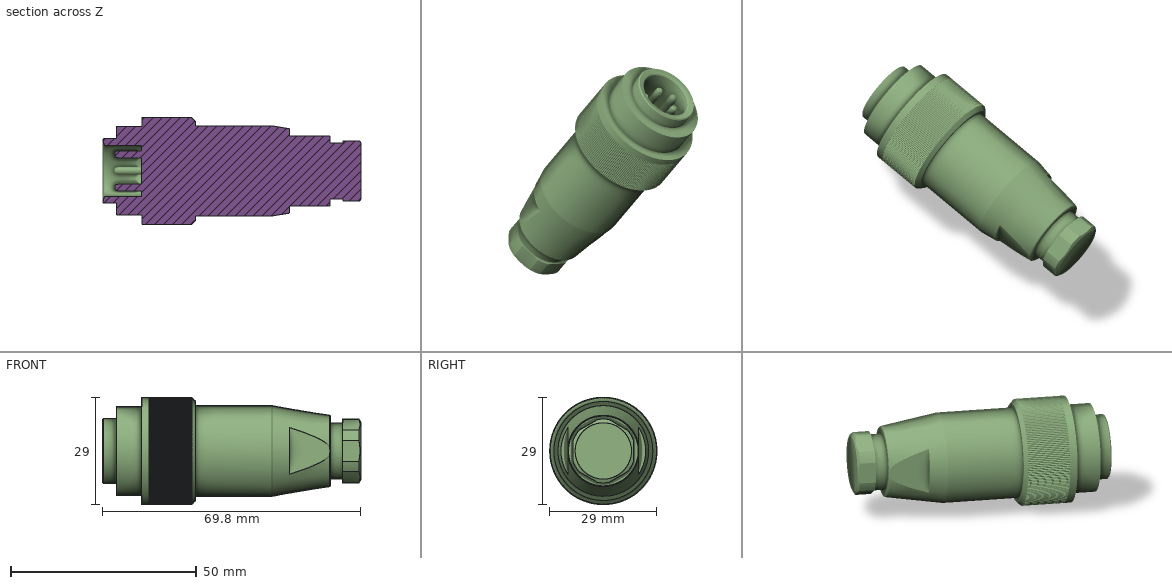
import cadquery as cq
import math


NOSE_END = 3.7
SLEEVE_END = 10.55
KNURL_START = 12.55
RING_END = 25.1
BODY_END = 45.7
FLAT_START = 50.55
CONE_END = 61.5
NECK_END = 64.85
TOTAL_LENGTH = 69.8

NOSE_DIA = 17.6
SLEEVE_DIA = 24.0
RING_DIA = 29.0
BODY_DIA = 24.5
CONE_END_DIA = 19.25
NECK_DIA = 15.2

NOSE_EDGE = 0.3
RING_CHAMFER = 1.1
CONE_EDGE = 0.2

TOOTH_COUNT = 180
TOOTH_DEPTH = 0.175
CREST_SHARE = 0.33

FLAT_SPACING = 19.1

NUT_ACROSS_FLATS = 16.25
NUT_CORNER_DIA = 17.25
NUT_END_DIA = 15.2
NUT_CHAMFER_ANGLE = 30.0

SOCKET_DIA = 13.7
SOCKET_DEPTH = 10.5
SOCKET_CHAMFER = 0.3
MOUTH_DISH = 0.35

ROOT_OVERLAP = 0.7

PIN_COUNT = 4
PIN_DIA = 2.0
PIN_CIRCLE_DIA = 9.0
PIN_TIP = 3.35
PIN_TIP_DIA = 1.8
PIN_TIP_LENGTH = 0.8
PIN_CHAMFER = 0.3

KEY_DIA = 2.4
KEY_TIP = 3.55
KEY_ANGLE = 135.0


def revolve_about_axis(profile):
    """Turn (x, radius) points, closed along the X axis, into a round solid."""
    points = [(profile[0][0], 0)] + profile + [(profile[-1][0], 0)]
    outline = cq.Workplane("XY").polyline(points).close()
    return outline.revolve(360, (0, 0, 0), (1, 0, 0))


def polar_point(radius, angle):
    """Point at a radius and an angle in radians."""
    return (radius * math.cos(angle), radius * math.sin(angle))


def make_shell():
    """Nose, sleeve, coupling ring, body, tapered rear and neck in one turned profile."""
    return revolve_about_axis([
        (0, NOSE_DIA / 2 - NOSE_EDGE),
        (NOSE_EDGE, NOSE_DIA / 2),
        (NOSE_END, NOSE_DIA / 2),
        (NOSE_END, SLEEVE_DIA / 2),
        (SLEEVE_END, SLEEVE_DIA / 2),
        (SLEEVE_END, RING_DIA / 2),
        (RING_END - RING_CHAMFER, RING_DIA / 2),
        (RING_END, RING_DIA / 2 - RING_CHAMFER),
        (RING_END, BODY_DIA / 2),
        (BODY_END, BODY_DIA / 2),
        (CONE_END - CONE_EDGE, CONE_END_DIA / 2),
        (CONE_END, CONE_END_DIA / 2 - CONE_EDGE),
        (CONE_END, NECK_DIA / 2),
        (NECK_END, NECK_DIA / 2),
    ])


def make_knurl_cutter():
    """Everything outside a toothed section, from the start of the knurl to the ring's rear face."""
    crest_radius = RING_DIA / 2
    root_radius = crest_radius - TOOTH_DEPTH
    pitch = 2 * math.pi / TOOTH_COUNT
    half_crest = CREST_SHARE * pitch / 2
    points = []
    for i in range(TOOTH_COUNT):
        middle = i * pitch
        points.append(polar_point(crest_radius, middle - half_crest))
        points.append(polar_point(crest_radius, middle + half_crest))
        points.append(polar_point(root_radius, middle + pitch / 2))
    blank = cq.Workplane("YZ", origin=(KNURL_START, 0, 0)).circle(RING_DIA)
    return blank.polyline(points).close().extrude(RING_END - KNURL_START)


def make_flat_cutters():
    """Two blocks that leave parallel flats facing -Y and +Y."""
    length = CONE_END - FLAT_START
    blank = cq.Workplane("XY").box(length, RING_DIA, RING_DIA, centered=(False, True, True))
    web = cq.Workplane("XY").box(length, FLAT_SPACING, RING_DIA, centered=(False, True, True))
    return blank.cut(web).translate((FLAT_START, 0, 0))


def make_nut():
    """Hexagon with flats facing -Y and +Y, trimmed by a chamfered round bar."""
    length = TOTAL_LENGTH - NECK_END
    across_corners = NUT_ACROSS_FLATS / math.cos(math.pi / 6)
    hexagon = cq.Workplane("YZ", origin=(NECK_END, 0, 0)).polygon(6, across_corners).extrude(length)
    hexagon = hexagon.rotate((0, 0, 0), (1, 0, 0), 90)
    chamfer_width = (NUT_CORNER_DIA - NUT_END_DIA) / 2
    chamfer_length = chamfer_width * math.tan(math.radians(NUT_CHAMFER_ANGLE))
    trim = revolve_about_axis([
        (NECK_END, NUT_CORNER_DIA / 2),
        (TOTAL_LENGTH - chamfer_length, NUT_CORNER_DIA / 2),
        (TOTAL_LENGTH, NUT_END_DIA / 2),
    ])
    return hexagon.intersect(trim)


def make_socket():
    """Blind bore with a small chamfer behind a shallow dished mouth."""
    return revolve_about_axis([
        (0, NOSE_DIA / 2 - NOSE_EDGE),
        (MOUTH_DISH, SOCKET_DIA / 2 + SOCKET_CHAMFER),
        (MOUTH_DISH + SOCKET_CHAMFER, SOCKET_DIA / 2),
        (SOCKET_DEPTH, SOCKET_DIA / 2),
    ])


def make_pins():
    """Contact pins with stepped, chamfered tips, standing on the socket floor."""
    pin = revolve_about_axis([
        (PIN_TIP, PIN_TIP_DIA / 2 - PIN_CHAMFER),
        (PIN_TIP + PIN_CHAMFER, PIN_TIP_DIA / 2),
        (PIN_TIP + PIN_TIP_LENGTH, PIN_TIP_DIA / 2),
        (PIN_TIP + PIN_TIP_LENGTH, PIN_DIA / 2),
        (SOCKET_DEPTH + ROOT_OVERLAP, PIN_DIA / 2),
    ]).translate((0, PIN_CIRCLE_DIA / 2, 0))
    pins = cq.Workplane("XY")
    for i in range(PIN_COUNT):
        pins = pins.add(pin.rotate((0, 0, 0), (1, 0, 0), i * 360 / PIN_COUNT))
    return pins.combine()


def make_key():
    """Round rib with a domed tip, half sunk in the socket wall."""
    radius = KEY_DIA / 2
    outline = (
        cq.Workplane("XY")
        .moveTo(KEY_TIP, 0)
        .radiusArc((KEY_TIP + radius, radius), radius)
        .lineTo(SOCKET_DEPTH + ROOT_OVERLAP, radius)
        .lineTo(SOCKET_DEPTH + ROOT_OVERLAP, 0)
        .close()
    )
    key = outline.revolve(360, (0, 0, 0), (1, 0, 0))
    y, z = polar_point(SOCKET_DIA / 2, math.radians(KEY_ANGLE))
    return key.translate((0, y, z))


result = (
    make_shell()
    .cut(make_knurl_cutter())
    .cut(make_flat_cutters())
    .union(make_nut())
    .cut(make_socket())
    .union(make_pins())
    .union(make_key())
)